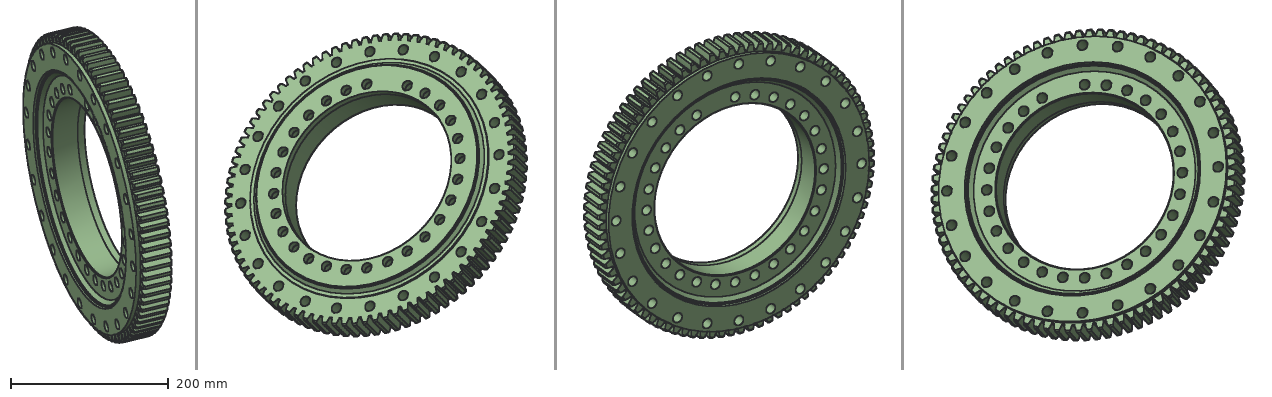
import cadquery as cq
import math


overall_diameter = 403.5
total_width = 55.0
outer_ring_width = 45.0
inner_ring_front = total_width - outer_ring_width

tooth_count = 88
tooth_pitch = 360 / tooth_count
pitch_radius = 197.3
root_radius = 192.0
tooth_width_at_tip = 5.0
tooth_width_at_pitch = 8.0
tooth_width_at_root = 11.0
tip_corner_angle = math.pi / tooth_count - tooth_width_at_tip / overall_diameter
tip_radius = overall_diameter / 2 / math.cos(tip_corner_angle)
gear_front = 6.0
tip_chamfer = 2.0

shoulder_radius = 190.0
outer_bore_radius = 155.7
outer_bolt_circle = 178.9
outer_bolt_count = 24

inner_ring_radius = 153.0
inner_bore_radius = 117.0
bore_chamfer = 1.2
split_position = outer_ring_width
inner_bolt_circle = 129.0
inner_bolt_pitches = 28
empty_bolt_pitch = 8

bolt_hole_diameter = 13.5

front_seal_height = 7.3
front_cone_height = 5.2
front_cone_radius = 146.5
front_lip_radius = 152.0
front_seal_radius = 154.0

rear_flange_radius = 165.0
rear_flange_thickness = 2.5
rear_seal_height = 7.3
rear_cone_radius = 159.7
rear_lip_radius = 155.0


def revolve_profile(points):
    """Revolve a closed outline of (radius, Y) points about the Y axis."""
    return cq.Workplane("XY").polyline(points).close().revolve(360, (0, 0, 0), (0, 1, 0))


def plane_facing_front(y):
    """Work plane at a Y position with local axes X and Z, extruding toward -Y."""
    return cq.Workplane(cq.Plane(origin=(0, y, 0), xDir=(1, 0, 0), normal=(0, -1, 0)))


def polar(radius, angle):
    """Point at a radius and an angle in degrees, counted from +X toward +Z."""
    return (radius * math.cos(math.radians(angle)), radius * math.sin(math.radians(angle)))


def bolt_holes(circle_radius, angles):
    """Round cutters along Y, one at each angle on a bolt circle."""
    centres = [polar(circle_radius, angle) for angle in angles]
    return plane_facing_front(total_width).pushPoints(centres).circle(bolt_hole_diameter / 2).extrude(total_width)


def equal_angles(count):
    return [360 * i / count for i in range(count)]



def flank_point(radius, width, tooth_angle, side):
    """Point on one flank (side -1 or +1) of the tooth centred on tooth_angle."""
    return polar(radius, tooth_angle + side * math.degrees(width / 2 / radius))


def gear_teeth():
    """Toothed disc with curved flanks; a tooth space is centred on +X."""
    first_tooth = tooth_pitch / 2
    outline = plane_facing_front(outer_ring_width)
    outline = outline.moveTo(*flank_point(root_radius, tooth_width_at_root, first_tooth, -1))
    for i in range(tooth_count):
        tooth = first_tooth + i * tooth_pitch
        outline = outline.threePointArc(
            flank_point(pitch_radius, tooth_width_at_pitch, tooth, -1),
            flank_point(tip_radius, tooth_width_at_tip, tooth, -1),
        )
        outline = outline.threePointArc(
            polar(tip_radius, tooth),
            flank_point(tip_radius, tooth_width_at_tip, tooth, 1),
        )
        outline = outline.threePointArc(
            flank_point(pitch_radius, tooth_width_at_pitch, tooth, 1),
            flank_point(root_radius, tooth_width_at_root, tooth, 1),
        )
        outline = outline.threePointArc(
            polar(root_radius, tooth + tooth_pitch / 2),
            flank_point(root_radius, tooth_width_at_root, tooth + tooth_pitch, -1),
        )
    return outline.close().extrude(outer_ring_width - gear_front)


def chamfered_gear_envelope():
    """Disc with chamfered rims that trims the ends of the tooth tips."""
    disc = plane_facing_front(outer_ring_width).circle(tip_radius).extrude(outer_ring_width - gear_front)
    return disc.edges().chamfer(tip_chamfer)


def make_outer_ring():
    gear = chamfered_gear_envelope().intersect(gear_teeth())
    shoulder = plane_facing_front(gear_front).circle(shoulder_radius).extrude(gear_front)
    bore = plane_facing_front(outer_ring_width).circle(outer_bore_radius).extrude(outer_ring_width)
    holes = bolt_holes(outer_bolt_circle, equal_angles(outer_bolt_count))
    return gear.union(shoulder).cut(bore).cut(holes)



def inner_bolt_holes():
    angles = equal_angles(inner_bolt_pitches)
    del angles[empty_bolt_pitch]
    return bolt_holes(inner_bolt_circle, angles)


def make_main_inner_ring():
    ring = revolve_profile([
        (inner_bore_radius + bore_chamfer, inner_ring_front),
        (inner_ring_radius, inner_ring_front),
        (inner_ring_radius, split_position),
        (inner_bore_radius, split_position),
        (inner_bore_radius, inner_ring_front + bore_chamfer),
    ])
    return ring.cut(inner_bolt_holes())


def make_retaining_ring():
    ring = revolve_profile([
        (inner_bore_radius, split_position),
        (inner_ring_radius, split_position),
        (inner_ring_radius, total_width),
        (inner_bore_radius, total_width),
    ])
    return ring.cut(inner_bolt_holes())



def make_front_seal():
    """Ring with a conical inner side rising to a narrow lip."""
    lip_front = inner_ring_front - front_seal_height
    cone_front = inner_ring_front - front_cone_height
    return revolve_profile([
        (front_cone_radius, inner_ring_front),
        (front_seal_radius, inner_ring_front),
        (front_seal_radius, lip_front),
        (front_lip_radius, lip_front),
        (front_lip_radius, cone_front),
    ])


def make_rear_seal():
    """Flat flange with a conical lip that rises along the retaining ring."""
    flange_rear = outer_ring_width + rear_flange_thickness
    lip_rear = outer_ring_width + rear_seal_height
    return revolve_profile([
        (inner_ring_radius, outer_ring_width),
        (rear_flange_radius, outer_ring_width),
        (rear_flange_radius, flange_rear),
        (rear_cone_radius, flange_rear),
        (rear_lip_radius, lip_rear),
        (inner_ring_radius, lip_rear),
    ])


outer_ring = make_outer_ring()
main_inner_ring = make_main_inner_ring()
retaining_ring = make_retaining_ring()
front_seal = make_front_seal()
rear_seal = make_rear_seal()

result = cq.Compound.makeCompound([
    outer_ring.val(),
    main_inner_ring.val(),
    retaining_ring.val(),
    front_seal.val(),
    rear_seal.val(),
])